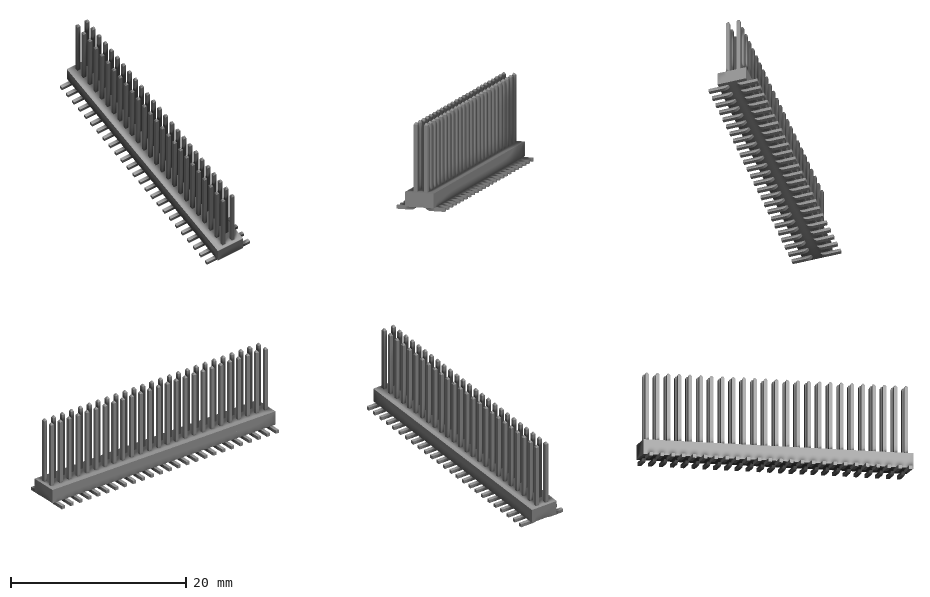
import cadquery as cq
import math

pitch = 1.27
columns = 25
row_spacing = pitch

wire = 0.4
wire_half = wire / 2
overall_depth = 5.85
overall_height = 10.15
bend_radius = 0.75
tip_height = 0.22
tip_inset = 0.135

housing_length = columns * pitch
housing_depth = 3.43
plate_height = 0.85
housing_bottom = wire
split_level = housing_bottom + plate_height

bar_height = 0.32


def make_contact():
    """One L-shaped contact of the front row at X = 0: upright pin, bend and foot toward -Y."""
    inner_face = -row_spacing / 2 + wire_half
    outer_face = inner_face - wire
    shoulder_level = overall_height - tip_height
    foot_end = -overall_depth / 2
    inner_radius = bend_radius - wire
    bend_y = inner_face - bend_radius
    diagonal = math.sqrt(0.5)

    def bend_middle(radius):
        """Middle of a bend arc around the shared bend centre."""
        return (bend_y + radius * diagonal, bend_radius - radius * diagonal)

    bent_wire = (
        cq.Workplane("YZ")
        .moveTo(foot_end, 0)
        .lineTo(bend_y, 0)
        .threePointArc(bend_middle(bend_radius), (inner_face, bend_radius))
        .lineTo(inner_face, shoulder_level)
        .lineTo(outer_face, shoulder_level)
        .lineTo(outer_face, bend_radius)
        .threePointArc(bend_middle(inner_radius), (bend_y, wire))
        .lineTo(foot_end, wire)
        .close()
        .extrude(wire_half, both=True)
    )
    tip_taper = math.degrees(math.atan(tip_inset / tip_height))
    pin_end = bent_wire.faces(">Z").wires().toPending().workplane()
    return pin_end.extrude(tip_height, taper=tip_taper).val()


def make_front_row():
    """All contacts of the front row, joined by the bar just below the housing split."""
    first_x = -(columns - 1) * pitch / 2
    contact = make_contact()
    contacts = [contact.translate(cq.Vector(first_x + i * pitch, 0, 0)) for i in range(columns)]
    bar = (
        cq.Workplane("XY")
        .box((columns - 1) * pitch, wire, bar_height)
        .translate((0, -row_spacing / 2, split_level - bar_height / 2))
    )
    return bar.val().fuse(*contacts).Solids()[0]


def make_plate(bottom, contact_rows):
    """One housing plate with openings that match the contacts passing through it."""
    plate = (
        cq.Workplane("XY")
        .workplane(offset=bottom)
        .rect(housing_length, housing_depth)
        .extrude(plate_height)
    )
    return plate.val().cut(*contact_rows).Solids()[0]


front_row = make_front_row()
rear_row = front_row.mirror("XZ")
contact_rows = [front_row, rear_row]

lower_plate = make_plate(housing_bottom, contact_rows)
upper_plate = make_plate(split_level, contact_rows)

result = cq.Compound.makeCompound([lower_plate, upper_plate, *contact_rows])